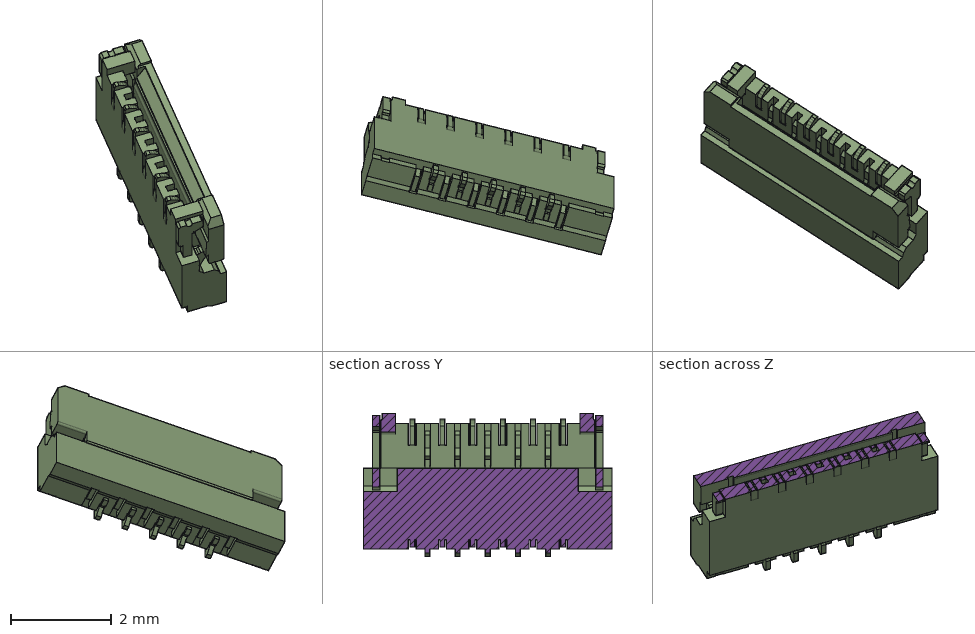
import cadquery as cq


body_width = 4.95
depth = 0.95
shoulder_z = 1.763
deck_z = 2.653
top_z = 2.85
wall_width = 4.258
wall_depth = 0.335
ledge_y = 0.124
ledge_z = 0.334
base_z = 0.152
foot_z = 0.106
pocket_floor_z = 1.30

root_depth = 0.1
edge_tolerance = 0.01

tower_outer_x = 2.10
tower_inner_x = 1.83
tower_step_top_z = 2.745
tower_step_bottom_z = 2.70
tower_depth = 0.587
tower_head_z = 2.477
tower_head_fillet = 0.04

pitch = 0.6
upper_count = 6
lower_count = upper_count - 1
contact_width = 0.1
upper_slot_width = 0.155
upper_slot_floor_z = 2.22
upper_slot_front_z = 2.012
upper_slot_ramp = 0.02
lower_slot_width = 0.125
lower_slot_front_y = 0.15
lower_slot_floor_z = 1.80
lower_slot_ramp_y = 0.24
lower_slot_ramp_z = 2.20
bottom_slot_back_y = 0.64
upper_contact_end_z = 0.19
tail_slot_back_y = 0.3

tab_outer_x = 2.293
tab_inner_x = 2.143
tab_top_z = 2.81
tab_foot_setback = 0.01
tab_groove_y = 0.231
tab_groove_radius = 0.06

actuator_half = 2.43
actuator_front_y = tower_depth
actuator_back_y = 0.912
actuator_bottom_z = 1.495
actuator_top_z = 2.805
actuator_chamfer = 0.1
actuator_end_chamfer = 0.15
actuator_edge_fillet = 0.045
bump_y = 0.52
bump_bottom_z = 1.777
relief_half = 1.76
relief_z = 2.745
lead_in_half = 1.715
lead_in_face_y = 0.55
lead_in_top_y = 0.765
lead_in_top_z = 2.70
lead_in_bottom_z = 2.40
pivot_half = 1.80


def box(x0, x1, y0, y1, z0, z1):
    """Axis-aligned block between two corners."""
    return cq.Workplane("XY").box(x1 - x0, y1 - y0, z1 - z0, centered=False).translate((x0, y0, z0))


def prism(points, x0, x1):
    """(Y, Z) outline swept along X from x0 to x1."""
    return cq.Workplane("YZ").polyline(points).close().extrude(x1 - x0).translate((x0, 0, 0))


def centred_prism(points, x, width):
    """(Y, Z) outline swept along X, centred on x."""
    return prism(points, x - width / 2, x + width / 2)


def with_mirror(shape):
    """Shape joined with its mirror image across the YZ plane."""
    return shape.union(shape.mirror("YZ"))


def row_positions(count):
    """X places of a contact row centred on the part."""
    return [(i - (count - 1) / 2) * pitch for i in range(count)]


upper_row = row_positions(upper_count)
lower_row = row_positions(lower_count)


def make_base():
    outline = [
        (0, ledge_z), (0, shoulder_z), (0.373, shoulder_z), (0.373, 1.402), (0.468, pocket_floor_z),
        (0.69, pocket_floor_z), (0.783, 1.217), (0.824, 1.11), (depth, 1.11), (depth, foot_z),
        (0.625, foot_z), (0.542, base_z), (ledge_y, base_z), (ledge_y, ledge_z),
    ]
    return centred_prism(outline, 0, body_width)


def make_front_wall():
    return box(-wall_width / 2, wall_width / 2, 0, wall_depth, pocket_floor_z, deck_z)


def make_towers():
    outline = [
        (tower_inner_x, shoulder_z), (wall_width / 2, shoulder_z), (wall_width / 2, tower_step_bottom_z),
        (tower_outer_x, tower_step_top_z), (tower_outer_x, top_z), (tower_inner_x, top_z),
    ]
    tower = cq.Workplane("XZ").polyline(outline).close().extrude(-tower_depth)
    undercut = box(tower_inner_x, wall_width / 2, wall_depth, tower_depth, shoulder_z, tower_head_z)
    tower = tower.cut(undercut)
    inner_corner = cq.selectors.BoxSelector(
        (tower_inner_x, wall_depth - edge_tolerance, tower_head_z - edge_tolerance),
        (wall_width / 2, wall_depth + edge_tolerance, tower_head_z + edge_tolerance),
    )
    return with_mirror(tower.edges(inner_corner).fillet(tower_head_fillet))


def make_upper_slot(x):
    outline = [
        (0, upper_slot_front_z), (upper_slot_ramp, upper_slot_floor_z),
        (wall_depth, upper_slot_floor_z), (wall_depth, deck_z), (0, deck_z),
    ]
    return centred_prism(outline, x, upper_slot_width)


def make_lower_slot(x):
    outline = [
        (lower_slot_front_y, deck_z), (lower_slot_front_y, lower_slot_ramp_z),
        (lower_slot_ramp_y, lower_slot_floor_z), (wall_depth, lower_slot_floor_z), (wall_depth, deck_z),
    ]
    return centred_prism(outline, x, lower_slot_width)


def make_bottom_slot(x):
    half = upper_slot_width / 2
    return box(x - half, x + half, 0, bottom_slot_back_y, 0, ledge_z)


def make_tail_slot(x):
    half = lower_slot_width / 2
    return box(x - half, x + half, 0, tail_slot_back_y, 0, ledge_z)


def make_upper_contact(x):
    beam = [
        (0.02, upper_slot_floor_z - root_depth), (0.02, 2.70), (0.045, 2.74), (0.115, 2.74), (0.16, 2.72),
        (0.21, 2.70), (0.265, 2.66), (0.32, 2.60), (0.32, upper_slot_floor_z - root_depth),
    ]
    return centred_prism(beam, x, contact_width)


def make_upper_contact_end(x):
    end = [
        (0.30, upper_contact_end_z), (bottom_slot_back_y, upper_contact_end_z),
        (bottom_slot_back_y, ledge_z), (0.20, ledge_z),
    ]
    return centred_prism(end, x, contact_width)


def make_lower_contact(x):
    beam = [
        (0.24, lower_slot_floor_z - root_depth), (0.24, 2.50), (wall_depth, 2.42), (wall_depth, 2.16),
        (0.418, 2.00), (0.36, 1.93), (0.36, lower_slot_floor_z - root_depth),
    ]
    tail = [
        (0.036, 0.32), (0, 0.27), (0, 0.055), (0.045, 0), (0.124, 0), (0.27, 0.13),
        (0.343, 0.14), (0.343, 0.072), (0.497, 0.072), (0.497, ledge_z), (0.036, ledge_z),
    ]
    return centred_prism(beam, x, contact_width).union(centred_prism(tail, x, contact_width))


def make_tabs():
    outline = [
        (0, 2.195), (0, 2.76), (0.045, tab_top_z), (0.492, tab_top_z), (0.526, 2.775), (0.526, 2.61),
        (0.318, 2.51), (0.285, 2.468), (0.285, shoulder_z - root_depth), (0.11, shoulder_z - root_depth),
        (0.11, shoulder_z), (0.095, 1.79), (0.095, 2.15), (0.045, 2.15),
    ]
    arm = [
        (0.36, 1.30), (0.36, 1.722), (0.426, 1.722), (0.467, 1.757), (actuator_front_y, 1.757),
        (0.575, 1.58), (0.45, 1.33), (0.43, 1.30),
    ]
    groove = (
        cq.Workplane("YZ")
        .center(tab_groove_y, tab_top_z)
        .circle(tab_groove_radius)
        .extrude(tab_outer_x)
    )
    tab = prism(outline, tab_inner_x, tab_outer_x).cut(groove)
    return with_mirror(tab.union(prism(arm, tab_inner_x, tab_outer_x)))


def make_tab_grooves():
    foot_y = ledge_y + tab_foot_setback
    groove = [(ledge_y, base_z), (ledge_y, ledge_z), (0.165, ledge_z), (foot_y, 0.287), (foot_y, base_z)]
    return with_mirror(prism(groove, wall_width / 2, tab_outer_x))


def make_actuator():
    plate = box(
        -actuator_half, actuator_half, actuator_front_y, actuator_back_y, actuator_bottom_z, actuator_top_z
    )
    plate = plate.edges("|X and <Z").fillet(actuator_edge_fillet)
    plate = plate.edges(">Z and <Y").chamfer(actuator_chamfer)
    corner = (
        cq.Workplane("XZ")
        .polyline([
            (actuator_half - actuator_end_chamfer, actuator_top_z),
            (actuator_half, actuator_top_z - actuator_end_chamfer),
            (actuator_half, actuator_top_z),
        ])
        .close()
        .extrude(-depth)
    )
    bump = [
        (actuator_front_y, bump_bottom_z), (bump_y, bump_bottom_z), (0.545, 2.23),
        (actuator_front_y, 2.28),
    ]
    face_fill = [
        (actuator_front_y, bump_bottom_z), (bump_y, bump_bottom_z), (bump_y, 2.20),
        (lead_in_face_y, 2.31), (lead_in_face_y, lead_in_bottom_z), (actuator_front_y, lead_in_bottom_z),
    ]
    lead_in = [
        (lead_in_face_y, lead_in_bottom_z), (lead_in_top_y, lead_in_top_z), (lead_in_top_y, actuator_top_z),
        (lead_in_face_y, actuator_top_z),
    ]
    relief = box(-relief_half, relief_half, 0, depth, relief_z, actuator_top_z)
    return (
        plate.cut(with_mirror(corner))
        .union(with_mirror(prism(bump, tower_inner_x, actuator_half)))
        .union(centred_prism(face_fill, 0, 2 * lead_in_half))
        .cut(relief)
        .cut(centred_prism(lead_in, 0, 2 * lead_in_half))
    )


def make_pivot():
    hub = [
        (wall_depth, pocket_floor_z - root_depth), (wall_depth, shoulder_z), (actuator_front_y, shoulder_z),
        (actuator_front_y, 1.52), (0.775, 1.52), (0.775, 1.385), (0.69, pocket_floor_z - root_depth),
    ]
    lip = [
        (actuator_back_y, 1.54), (actuator_back_y, 1.24), (0.88, 1.20), (0.80, 1.19), (0.69, 1.31),
        (0.785, 1.40), (0.82, 1.45), (0.82, 1.54),
    ]
    return centred_prism(hub, 0, 2 * pivot_half).union(centred_prism(lip, 0, 2 * pivot_half))


def make_hub_recess(x):
    outline = [(0.38, shoulder_z), (0.38, 1.722), (0.426, 1.722), (0.467, shoulder_z)]
    return centred_prism(outline, x, contact_width)


result = make_base().union(make_front_wall()).union(make_towers())
for x in upper_row:
    result = result.cut(make_upper_slot(x)).cut(make_bottom_slot(x))
for x in lower_row:
    result = result.cut(make_lower_slot(x)).cut(make_tail_slot(x))
result = result.cut(make_tab_grooves())

for x in upper_row:
    result = result.union(make_upper_contact(x)).union(make_upper_contact_end(x))
for x in lower_row:
    result = result.union(make_lower_contact(x))
result = result.union(make_tabs()).union(make_actuator()).union(make_pivot())
for x in upper_row:
    result = result.cut(make_hub_recess(x))